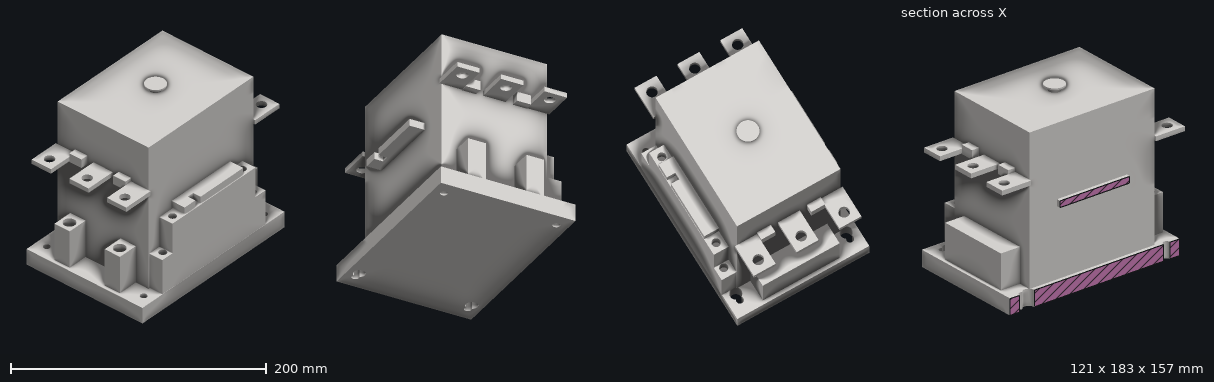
import cadquery as cq


plate_width = 120.0
plate_length = 169.8
plate_height = 15.0
mount_x = 50.1
mount_hole_dia = 6.2
mount_y = 72.1
keyhole_entry_y = 65.9
keyhole_entry_dia = 10.2

housing_width = 94.0
housing_length = 125.2
housing_top = 151.5
overall_height = 157.0
button_dia = 18.0
button_thickness = 1.5
stem_dia = 10.6

overall_length = 183.0
terminal_width = 20.0
terminal_pitch = 39.0
terminal_bottom = 106.1
terminal_thickness = 4.2
terminal_hole_dia = 9.2
terminal_hole_inset = 9.9
tab_width = 12.6
tab_projection = 7.0
tab_bottom = 105.5
tab_top = 113.8

coil_projection = 19.0
post_width = 15.7
post_x = 26.0
post_top = 50.1
post_hole_dia = 11.0
post_hole_y = -72.8
post_hole_depth = 18.3
coil_block_width = 69.9
coil_block_top = 47.2

overall_width = 121.0
rail_length = 69.9
rail_bottom = 78.7
rail_top = 85.0
notch_width = 6.2
notch_depth = 7.7
notch_y = 19.2

aux_length = 123.3
aux_upper_length = 99.2
aux_bottom = 15.7
aux_step = 48.7
aux_top = 77.2
aux_hole_dia = 7.3
aux_hole_depth = 9.2
aux_upper_hole_y = 41.7
aux_lower_hole_y = 53.5

half_housing_width = housing_width / 2
half_housing_length = housing_length / 2
side_projection = (overall_width - housing_width) / 2


def block(x_min, x_max, y_min, y_max, z_min, z_max):
    """Axis-aligned box between two opposite corners."""
    size = (x_max - x_min, y_max - y_min, z_max - z_min)
    return cq.Workplane("XY").box(*size, centered=False).translate((x_min, y_min, z_min))


def centred_block(width, length, z_min, z_max):
    """Box centred on the Z axis."""
    return block(-width / 2, width / 2, -length / 2, length / 2, z_min, z_max)


def cylinder(x, y, diameter, z_min, z_max):
    """Vertical cylinder."""
    return cq.Workplane("XY", origin=(x, y, z_min)).circle(diameter / 2).extrude(z_max - z_min)


def base_plate():
    """Plate with two front mounting holes and two keyholes at the back."""
    plate = centred_block(plate_width, plate_length, 0, plate_height)
    for x in (-mount_x, mount_x):
        plate = plate.cut(cylinder(x, -mount_y, mount_hole_dia, 0, plate_height))
        plate = plate.cut(cylinder(x, mount_y, mount_hole_dia, 0, plate_height))
        plate = plate.cut(cylinder(x, keyhole_entry_y, keyhole_entry_dia, 0, plate_height))
    return plate


def housing():
    """Main box with the push button on top."""
    button_bottom = overall_height - button_thickness
    body = centred_block(housing_width, housing_length, plate_height, housing_top)
    body = body.union(cylinder(0, 0, stem_dia, housing_top, button_bottom))
    return body.union(cylinder(0, 0, button_dia, button_bottom, overall_height))


def power_terminals():
    """Three drilled flat terminals projecting from each end of the housing."""
    terminal_top = terminal_bottom + terminal_thickness
    tip_y = overall_length / 2
    terminal = block(
        -terminal_width / 2, terminal_width / 2,
        half_housing_length, tip_y,
        terminal_bottom, terminal_top,
    )
    terminal = terminal.cut(
        cylinder(0, tip_y - terminal_hole_inset, terminal_hole_dia, terminal_bottom, terminal_top)
    )
    end_pair = terminal.union(terminal.mirror("XZ"))
    terminals = end_pair
    for x in (-terminal_pitch, terminal_pitch):
        terminals = terminals.union(end_pair.translate((x, 0, 0)))
    return terminals


def terminal_tabs():
    """Small tabs against the inner edges of the outer terminals, at both ends."""
    tab_x = terminal_pitch - terminal_width / 2 - tab_width / 2
    tab_pair = centred_block(tab_width, housing_length + 2 * tab_projection, tab_bottom, tab_top)
    return tab_pair.translate((-tab_x, 0, 0)).union(tab_pair.translate((tab_x, 0, 0)))


def coil_posts():
    """Two posts with blind holes at the front of the housing."""
    post_front = -half_housing_length - coil_projection
    post = block(-post_width / 2, post_width / 2, post_front, -half_housing_length, plate_height, post_top)
    post = post.cut(cylinder(0, post_hole_y, post_hole_dia, post_top - post_hole_depth, post_top))
    return post.translate((-post_x, 0, 0)).union(post.translate((post_x, 0, 0)))


def coil_block():
    """Single wide block at the back of the housing."""
    return block(
        -coil_block_width / 2, coil_block_width / 2,
        half_housing_length, half_housing_length + coil_projection,
        plate_height, coil_block_top,
    )


def left_rail():
    """Rail on the -X side with a square notch in its outer edge."""
    outer_x = -overall_width / 2
    rail = block(outer_x, -half_housing_width, -rail_length / 2, rail_length / 2, rail_bottom, rail_top)
    notch = block(
        outer_x, outer_x + notch_depth,
        notch_y - notch_width / 2, notch_y + notch_width / 2,
        rail_bottom, rail_top,
    )
    return rail.cut(notch)


def side_rails():
    """The left rail and its copy turned half a turn about Z."""
    rail = left_rail()
    return rail.union(rail.rotate((0, 0, 0), (0, 0, 1), 180))


def auxiliary_block():
    """Block with stepped ends and a blind screw hole in each step."""
    outer_x = overall_width / 2
    hole_x = half_housing_width + side_projection / 2
    lower = block(half_housing_width, outer_x, -aux_length / 2, aux_length / 2, aux_bottom, aux_step)
    upper = block(
        half_housing_width, outer_x, -aux_upper_length / 2, aux_upper_length / 2, aux_step, aux_top
    )
    aux = lower.union(upper)
    for side in (-1, 1):
        for hole_y, face_z in ((aux_upper_hole_y, aux_top), (aux_lower_hole_y, aux_step)):
            aux = aux.cut(cylinder(hole_x, side * hole_y, aux_hole_dia, face_z - aux_hole_depth, face_z))
    return aux


result = (
    base_plate()
    .union(housing())
    .union(power_terminals())
    .union(terminal_tabs())
    .union(coil_posts())
    .union(coil_block())
    .union(side_rails())
    .union(auxiliary_block())
)